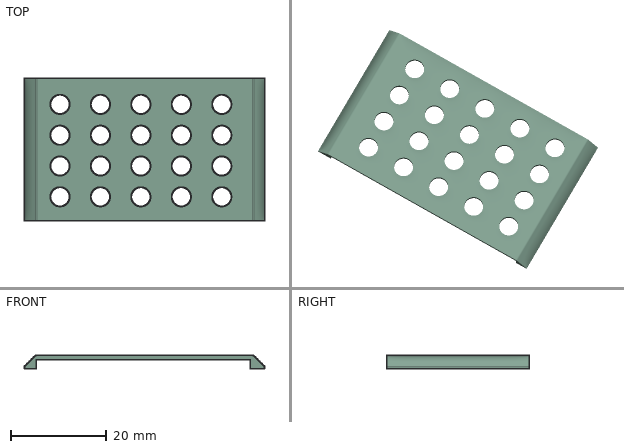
import cadquery as cq
import math

length = 50.6
width = 30.0
height = 2.9

plate_thickness = 1.0
left_foot_width = 2.6
right_foot_width = 3.1
slope_angle = math.radians(45)
tip_radius = 0.3
shoulder_radius = 0.5

hole_diameter = 4.0
columns = 5
rows = 4
column_pitch = 8.5
row_pitch = 6.5
grid_center_x = -0.75
grid_center_y = -0.25

tip_loss = tip_radius / math.tan(slope_angle / 2) - tip_radius
sharp_half_length = length / 2 + tip_loss
top_half_length = sharp_half_length - height / math.tan(slope_angle)


def make_body():
    """Extrude the trapezoid along Y and round its four long outer edges."""
    outline = [
        (-sharp_half_length, 0),
        (sharp_half_length, 0),
        (top_half_length, height),
        (-top_half_length, height),
    ]
    body = cq.Workplane("XZ").polyline(outline).close().extrude(width / 2, both=True)
    body = body.faces("<Z").edges("|Y").fillet(tip_radius)
    return body.faces(">Z").edges("|Y").fillet(shoulder_radius)


def make_channel():
    """Open space under the plate, between the two feet."""
    channel_length = length - left_foot_width - right_foot_width
    channel_height = height - plate_thickness
    channel = cq.Workplane("XY").box(channel_length, width, channel_height, centered=(False, True, False))
    return channel.translate((-length / 2 + left_foot_width, 0, 0))


def make_holes():
    """Grid of cylinders that pierces the plate."""
    return (
        cq.Workplane("XY")
        .center(grid_center_x, grid_center_y)
        .rarray(column_pitch, row_pitch, columns, rows)
        .circle(hole_diameter / 2)
        .extrude(height)
    )


result = make_body().cut(make_channel()).cut(make_holes())